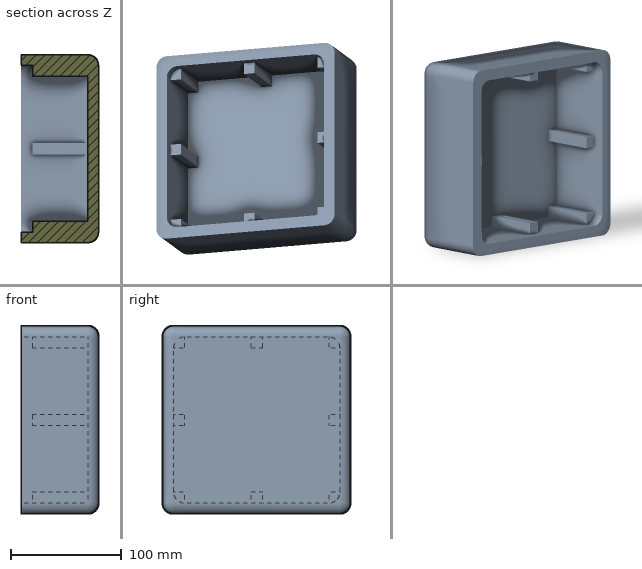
import cadquery as cq

depth = 70.0
side = 170.0
wall = 10.0
floor = 10.0
outer_radius = 10.0
cavity_radius = 10.0
post_size = 10.0
post_recess = 10.0

cavity_side = side - 2 * wall
floor_x = depth - floor
post_length = floor_x - post_recess
post_offset = (cavity_side - post_size) / 2


def make_block(length, width, start_x):
    """Square bar centred on the X axis, running from start_x toward +X."""
    return cq.Workplane("YZ").workplane(offset=start_x).rect(width, width).extrude(length)


def make_shell():
    """Box open toward -X, rounded along X and around the closed back."""
    body = make_block(depth, side, 0).edges("|X or >X").fillet(outer_radius)
    cavity = make_block(floor_x, cavity_side, 0).edges("|X").fillet(cavity_radius)
    return body.cut(cavity)


def make_posts():
    """Posts standing on the floor in each corner and at the middle of each wall."""
    steps = (-1, 0, 1)
    places = [
        (y_step * post_offset, z_step * post_offset)
        for y_step in steps
        for z_step in steps
        if (y_step, z_step) != (0, 0)
    ]
    return (
        cq.Workplane("YZ")
        .workplane(offset=post_recess)
        .pushPoints(places)
        .rect(post_size, post_size)
        .extrude(post_length)
    )


result = make_shell().union(make_posts())